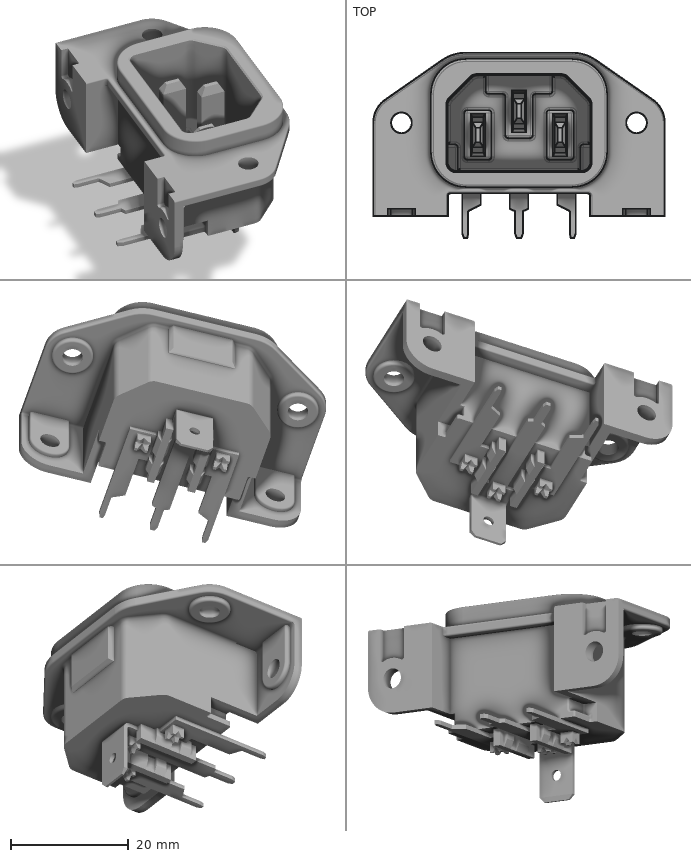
import cadquery as cq
import math


half_width = 24.8
flange_thickness = 1.7
edge_round = 0.3
hole_x = 20.0
flange_hole_y = 15.85
wing_hole_z = -8.85
hole_diameter = 3.45
pad_radius = 3.5
pad_height = 0.9
pad_round = 0.4
wing_thickness = 1.55
wing_bottom = -14.85
wing_corner_radius = 5.05
wing_inner_x = 12.05
lip_y = 3.85
lip_corner_radius = 0.4
wing_root_radius = 0.45
notch_width = 4.65
notch_bottom = -5.75
notch_depth = 1.25
notch_corner_radius = 0.35
notch_arc_radius = 3.55

rim_width = 29.95
rim_front = 4.95
rim_back = 26.75
rim_height = 3.35
rim_radius = 5.95
rim_edge_round = 0.4
rim_mid_y = (rim_front + rim_back) / 2
rim_corner_x = rim_width / 2 - rim_radius
rim_corner_y = rim_back - rim_radius
flange_back = 27.85
flange_back_radius = flange_back - rim_corner_y
flange_side_radius = half_width - hole_x

body_half_width = 13.9
body_front = 6.0
body_back = 25.75
body_bottom = -18.1
body_chamfer = 5.1
body_round = 2.0
root_round = 0.45
bulge_half_width = 5.95
bulge_back = 26.55
bulge_bottom = -8.95
bulge_chamfer = 0.7
bottom_notch_back = 11.1
bottom_notch_round = 0.3
bottom_notch_corner_radius = 0.4
bottom_notch_x = 11.3
bottom_notch_step_x = 12.55
bottom_notch_step_z = -16.95

cavity_half_width = 12.4
cavity_front = 7.45
cavity_back = 24.2
cavity_chamfer = 4.45
cavity_floor = -13.4
cavity_front_radius = 1.6
cavity_back_radius = 1.6
mouth_chamfer = 0.25
pedestal_height = 1.0
pedestal_round = 0.45
pedestal_corner_radius = 0.5
side_pedestal_width = 5.5
side_pedestal_length = 9.3
earth_bar_half_width = 6.1
earth_bar_front = 20.35
earth_stem_half_width = 2.8
earth_stem_front = 12.85
corner_block_x = 9.95
corner_block_back = 12.65

pin_x = 7.0
side_pin_y = 13.85
earth_pin_y = 17.85
pin_width = 1.9
pin_length = 4.25
pin_tip_width = 0.75
pin_tip_length = 2.5
pin_tip_height = 1.55
side_pin_top = -0.4
earth_pin_top = 2.6
pocket_width = 2.6
side_pocket_length = 7.45
earth_pocket_length = 7.35
pocket_depth = 1.5
pocket_floor_length = 6.05

strip_thickness = 0.75
strip_width = 3.15
strip_end = -3.7
strip_tip_start = -2.95
strip_neck_y = 0.85
side_shoulder_y = 1.95
earth_shoulder_y = 1.25
side_strip_outer = 9.65
side_leg_width = 1.05
earth_leg_width = 1.4
leg_tip_inset = 0.3
side_strip_back = 15.5
side_strip_back_width = 4.7
side_strip_step_y = 9.9
strip_bottom = body_bottom - strip_thickness

stake_width = 2.35
stake_bottom = -20.7
stake_v_width = 1.3
stake_v_height = 0.95

tab_half_width = 3.2
tab_back = 21.7
tab_front = 17.35
tab_bottom = -28.4
tab_tip_height = 0.9
tab_tip_inset = 0.85
tab_hole_diameter = 1.9
tab_hole_z = -23.95
tab_bend_radius = 0.45
tab_tip_bevel = 0.15

post_x = 3.6
post_front = 7.3
post_back = 18.85
post_core_width = 1.3
post_bottom = -21.05
post_collar_width = 2.55
post_collar_spans = ((8.7, 10.8), (12.65, 15.95))
post_collar_taper_height = 1.35
post_collar_taper_run = 0.6

pin_layout = (
    (-pin_x, side_pin_y, side_pin_top, side_pocket_length),
    (0, earth_pin_y, earth_pin_top, earth_pocket_length),
    (pin_x, side_pin_y, side_pin_top, side_pocket_length),
)
SIDES = (-1, 1)


def box(x0, x1, y0, y1, z0, z1):
    return cq.Workplane("XY").box(x1 - x0, y1 - y0, z1 - z0, centered=False).translate((x0, y0, z0))


def mirrored(solid):
    return solid.union(solid.mirror("YZ"))


def chamfered_outline(half, front, back, chamfer):
    return [
        (-half, front),
        (half, front),
        (half, back - chamfer),
        (half - chamfer, back),
        (chamfer - half, back),
        (-half, back - chamfer),
    ]


def make_flange():
    run = hole_x - rim_corner_x
    rise = rim_corner_y - flange_hole_y
    radius_gain = flange_back_radius - flange_side_radius
    slope = math.atan2(rise, run) + math.asin(radius_gain / math.hypot(run, rise))

    def on_arc(x, y, radius, angle):
        return x + radius * math.cos(angle), y + radius * math.sin(angle)

    normal = math.pi / 2 - slope
    side_mid = on_arc(hole_x, flange_hole_y, flange_side_radius, normal / 2)
    side_end = on_arc(hole_x, flange_hole_y, flange_side_radius, normal)
    back_start = on_arc(rim_corner_x, rim_corner_y, flange_back_radius, normal)
    back_mid = on_arc(rim_corner_x, rim_corner_y, flange_back_radius, (normal + math.pi / 2) / 2)
    half = (
        cq.Workplane("XY")
        .moveTo(0, lip_y)
        .lineTo(wing_inner_x, lip_y)
        .lineTo(wing_inner_x, 0)
        .lineTo(half_width, 0)
        .lineTo(half_width, flange_hole_y)
        .threePointArc(side_mid, side_end)
        .lineTo(*back_start)
        .threePointArc(back_mid, (rim_corner_x, flange_back))
        .lineTo(0, flange_back)
        .close()
        .extrude(-flange_thickness)
    )
    lip_corner = cq.selectors.NearestToPointSelector((wing_inner_x, lip_y, -flange_thickness / 2))
    half = half.edges("|Z").edges(lip_corner).fillet(lip_corner_radius)
    return mirrored(half).faces(">Z or <Z").edges("not <Y").fillet(edge_round)


def make_wing():
    plate = box(wing_inner_x, half_width, 0, wing_thickness, wing_bottom, -edge_round)
    plate = plate.edges(">X and <Z").fillet(wing_corner_radius)
    web = box(wing_inner_x, body_half_width, 0, body_front, wing_bottom, -flange_thickness / 2)
    root_back = wing_thickness + wing_root_radius
    root_low = -flange_thickness - wing_root_radius
    root = box(body_half_width, half_width, wing_thickness, root_back, root_low, -flange_thickness)
    root_scoop = (
        cq.Workplane("YZ", origin=(body_half_width, root_back, root_low))
        .circle(wing_root_radius)
        .extrude(half_width - body_half_width)
    )
    return plate.union(web).union(root.cut(root_scoop))


def make_wing_pads():
    flange_pad = (
        cq.Workplane("XY", origin=(hole_x, flange_hole_y, -flange_thickness))
        .circle(pad_radius)
        .extrude(-pad_height)
    )
    pad_back = wing_thickness + pad_height
    wing_pad = (
        cq.Workplane("XZ", origin=(hole_x, pad_back, wing_hole_z)).circle(pad_radius).extrude(pad_height)
    )
    backing = box(
        hole_x - pad_radius, hole_x + pad_radius, wing_thickness, pad_back, wing_hole_z, -flange_thickness
    )
    wing_pad = wing_pad.union(backing).faces(">Y").edges("not >Z").fillet(pad_round)
    return flange_pad.faces("<Z").edges().fillet(pad_round).union(wing_pad)


def make_wing_cuts():
    flange_hole = (
        cq.Workplane("XY", origin=(hole_x, flange_hole_y, 0))
        .circle(hole_diameter / 2)
        .extrude(-flange_thickness - pad_height)
    )
    wing_hole = (
        cq.Workplane("XZ", origin=(hole_x, 0, wing_hole_z))
        .circle(hole_diameter / 2)
        .extrude(-wing_thickness - pad_height)
    )
    notch = box(hole_x - notch_width / 2, hole_x + notch_width / 2, 0, notch_depth, notch_bottom, 0)
    notch = notch.edges("|Y and <Z").fillet(notch_corner_radius)
    crown = cq.Workplane("XZ", origin=(hole_x, 0, wing_hole_z)).circle(notch_arc_radius).extrude(-notch_depth)
    return flange_hole.union(wing_hole).union(notch.cut(crown))


def make_bottom_notch():
    upper = box(
        bottom_notch_x, body_half_width, body_front, bottom_notch_back, bottom_notch_step_z, wing_bottom
    )
    lower = box(
        bottom_notch_step_x, body_half_width, body_front, bottom_notch_back, body_bottom, wing_bottom
    )
    notch = upper.union(lower)
    corner = cq.selectors.NearestToPointSelector((bottom_notch_x, body_front, bottom_notch_step_z))
    notch = notch.edges("|Y").edges(corner).fillet(bottom_notch_corner_radius)
    return notch.faces(">Y").edges("not (>X or >Z or <Z)").fillet(bottom_notch_round)


def make_body():
    outline = chamfered_outline(body_half_width, body_front, body_back, body_chamfer)
    body = cq.Workplane("XY").polyline(outline).close().extrude(body_bottom)
    body = body.edges("|Z and (not <Y)").fillet(body_round)
    body = body.cut(mirrored(make_bottom_notch()))
    for side in SIDES:
        inner_edge = cq.selectors.NearestToPointSelector(
            (side * bottom_notch_x, body_front, (wing_bottom + bottom_notch_step_z) / 2)
        )
        step_edge = cq.selectors.NearestToPointSelector(
            (side * bottom_notch_step_x, body_front, (body_bottom + bottom_notch_step_z) / 2)
        )
        body = body.edges(inner_edge).fillet(bottom_notch_round)
        body = body.edges(step_edge).fillet(bottom_notch_round)
    return body


def make_flanged_body():
    margin = root_round / 2
    joint = cq.selectors.BoxSelector(
        (-body_half_width - margin, body_front + margin, -flange_thickness - margin),
        (body_half_width + margin, body_back + margin, -flange_thickness + margin),
    )
    return make_flange().union(make_body()).edges(joint).fillet(root_round)


def make_bulge():
    bulge = box(-bulge_half_width, bulge_half_width, earth_pin_y, bulge_back, bulge_bottom, -flange_thickness)
    return bulge.faces(">Y").edges("not >Z").chamfer(bulge_chamfer)


def make_rim():
    rim = (
        cq.Workplane("XY", origin=(0, rim_mid_y, -flange_thickness))
        .rect(rim_width, rim_back - rim_front)
        .extrude(rim_height + flange_thickness)
    )
    return rim.edges("|Z").fillet(rim_radius).faces(">Z").edges().fillet(rim_edge_round)


def make_cavity():
    half = cavity_half_width - mouth_chamfer
    front = cavity_front + mouth_chamfer
    back = cavity_back - mouth_chamfer
    outline = chamfered_outline(half, front, back, cavity_chamfer)
    cavity = (
        cq.Workplane("XY", origin=(0, 0, rim_height))
        .polyline(outline)
        .close()
        .extrude(cavity_floor - rim_height)
    )
    cavity = cavity.edges("|Z and <Y").fillet(cavity_front_radius)
    back_zone = cq.selectors.BoxSelector(
        (-half_width, rim_mid_y, cavity_floor), (half_width, flange_back, rim_height)
    )
    cavity = cavity.edges("|Z").edges(back_zone).fillet(cavity_back_radius)
    for pedestal in make_pedestals():
        cavity = cavity.cut(pedestal)
    cavity = cavity.faces("<Z").edges().fillet(pedestal_round)
    mouth = cavity.faces(">Z").wires().toPending().extrude(mouth_chamfer, taper=-45)
    return cavity.union(mouth.translate((0, 0, -mouth_chamfer)))


def make_pedestal(outline):
    pedestal = (
        cq.Workplane("XY", origin=(0, 0, cavity_floor))
        .polyline(outline)
        .close()
        .offset2D(-pedestal_round)
        .extrude(pedestal_height)
    )
    pedestal = pedestal.edges("|Z").fillet(pedestal_corner_radius)
    return pedestal.faces(">Z").edges().fillet(pedestal_round)


def rectangle(x0, x1, y0, y1):
    return [(x0, y0), (x1, y0), (x1, y1), (x0, y1)]


def make_pedestals():
    half_w = side_pedestal_width / 2
    half_l = side_pedestal_length / 2
    earth_outline = [
        (-earth_stem_half_width, earth_stem_front),
        (earth_stem_half_width, earth_stem_front),
        (earth_stem_half_width, earth_bar_front),
        (earth_bar_half_width, earth_bar_front),
        (earth_bar_half_width, body_back),
        (-earth_bar_half_width, body_back),
        (-earth_bar_half_width, earth_bar_front),
        (-earth_stem_half_width, earth_bar_front),
    ]
    pedestals = [make_pedestal(earth_outline)]
    for side in SIDES:
        x = side * pin_x
        pedestals.append(
            make_pedestal(rectangle(x - half_w, x + half_w, side_pin_y - half_l, side_pin_y + half_l))
        )
        x0, x1 = sorted((side * corner_block_x, side * body_half_width))
        pedestals.append(make_pedestal(rectangle(x0, x1, body_front, corner_block_back)))
    return pedestals


def make_pocket(x, y, length):
    top = cavity_floor + pedestal_height
    return (
        cq.Workplane("XY", origin=(x, y, top))
        .rect(pocket_width, length)
        .workplane(offset=-pocket_depth)
        .rect(pin_width, pocket_floor_length)
        .loft()
    )


def make_pin(x, y, top):
    shaft_top = top - pin_tip_height
    base = cavity_floor + pedestal_height - pocket_depth
    shaft = cq.Workplane("XY", origin=(x, y, base)).rect(pin_width, pin_length).extrude(shaft_top - base)
    tip = (
        cq.Workplane("XY", origin=(x, y, shaft_top))
        .rect(pin_width, pin_length)
        .workplane(offset=pin_tip_height)
        .rect(pin_tip_width, pin_tip_length)
        .loft()
    )
    return shaft.union(tip)


def extrude_strip(outline):
    return cq.Workplane("XY", origin=(0, 0, body_bottom)).polyline(outline).close().extrude(-strip_thickness)


def make_side_strip():
    inner = side_strip_outer - strip_width
    back_inner = side_strip_outer - side_strip_back_width
    leg_inner = side_strip_outer - side_leg_width
    return extrude_strip([
        (side_strip_outer, side_strip_back),
        (side_strip_outer, strip_tip_start),
        (side_strip_outer - leg_tip_inset, strip_end),
        (leg_inner + leg_tip_inset / 2, strip_end),
        (leg_inner, strip_tip_start),
        (leg_inner, strip_neck_y),
        (inner, side_shoulder_y),
        (inner, side_strip_step_y),
        (back_inner, side_strip_step_y),
        (back_inner, side_strip_back),
    ])


def make_earth_strip():
    half = strip_width / 2
    leg = earth_leg_width / 2
    right_edge = [
        (half, tab_front),
        (half, earth_shoulder_y),
        (leg, strip_neck_y),
        (leg, strip_tip_start),
        (leg - leg_tip_inset, strip_end),
    ]
    left_edge = [(-x, y) for x, y in reversed(right_edge)]
    return extrude_strip(right_edge + left_edge)


def make_tab():
    shelf = box(-tab_half_width, tab_half_width, tab_front, tab_back, strip_bottom, body_bottom)
    tip_top = tab_bottom + tab_tip_height
    tip_half_width = tab_half_width - tab_tip_inset
    tab_face = tab_back - strip_thickness
    front_outline = [
        (-tab_half_width, body_bottom),
        (-tab_half_width, tip_top),
        (-tip_half_width, tab_bottom),
        (tip_half_width, tab_bottom),
        (tab_half_width, tip_top),
        (tab_half_width, body_bottom),
    ]
    side_outline = [
        (tab_face, body_bottom),
        (tab_face, tip_top),
        (tab_face + tab_tip_bevel, tab_bottom),
        (tab_back - tab_tip_bevel, tab_bottom),
        (tab_back, tip_top),
        (tab_back, body_bottom),
    ]
    blade_face = cq.Workplane("XZ", origin=(0, tab_back, 0)).polyline(front_outline).close()
    blade_side = cq.Workplane("YZ").polyline(side_outline).close()
    blade = blade_face.extrude(strip_thickness).intersect(blade_side.extrude(tab_half_width, both=True))
    hole = (
        cq.Workplane("XZ", origin=(0, tab_back, tab_hole_z))
        .circle(tab_hole_diameter / 2)
        .extrude(strip_thickness)
    )
    tab = shelf.union(blade).cut(hole)
    inner_bend = cq.selectors.NearestToPointSelector((0, tab_face, strip_bottom))
    tab = tab.edges("|X").edges(inner_bend).fillet(tab_bend_radius)
    return tab.edges("|X and >Y and >Z").fillet(tab_bend_radius + strip_thickness)


def make_stake(x, y):
    half = stake_width / 2
    stake = box(x - half, x + half, y - half, y + half, stake_bottom, body_bottom)
    v_cut = [(-stake_v_width / 2, 0), (0, stake_v_height), (stake_v_width / 2, 0)]
    along_y = cq.Workplane("XZ", origin=(x, y, stake_bottom)).polyline(v_cut).close().extrude(half, both=True)
    along_x = cq.Workplane("YZ", origin=(x, y, stake_bottom)).polyline(v_cut).close().extrude(half, both=True)
    return stake.cut(along_y).cut(along_x)


def make_post():
    half = post_core_width / 2
    post = box(post_x - half, post_x + half, post_front, post_back, post_bottom, body_bottom)
    half = post_collar_width / 2
    for front, back in post_collar_spans:
        collar = box(post_x - half, post_x + half, front, back, post_bottom, body_bottom)
        collar = collar.edges("|Y and <Z").chamfer(post_collar_taper_height, post_collar_taper_run)
        post = post.union(collar)
    return post


shell = make_flanged_body()
shell = shell.union(make_bulge()).union(mirrored(make_wing())).union(make_rim())
shell = shell.union(mirrored(make_wing_pads())).cut(mirrored(make_wing_cuts()))
result = shell.cut(make_cavity())

for x, y, top, pocket_length in pin_layout:
    result = result.cut(make_pocket(x, y, pocket_length))
    result = result.union(make_pin(x, y, top)).union(make_stake(x, y))

result = result.union(mirrored(make_side_strip())).union(make_earth_strip()).union(make_tab())
result = result.union(mirrored(make_post()))